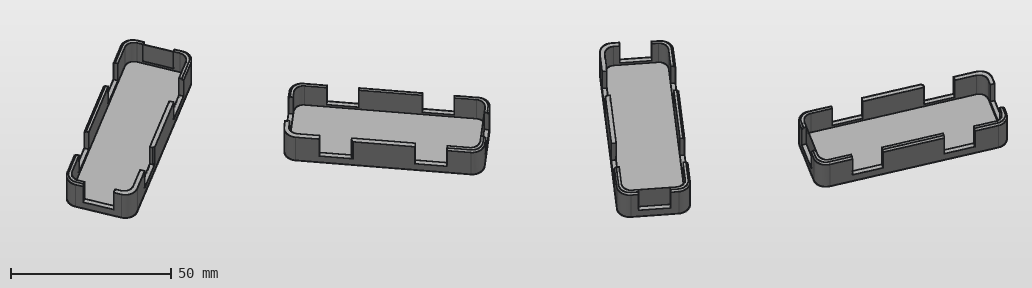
import cadquery as cq

WIDTH = 23.0
LENGTH = 63.0
HEIGHT = 11.0
WALL = 1.5
FLOOR = 2.0
OUTER_RADIUS = 4.0
INNER_RADIUS = 3.0

NOTCH_WIDTH = 10.0
NOTCH_SILL = 3.0
SIDE_NOTCH_OFFSET = 15.0
BACK_WEB = 0.01

CHAMFER = 0.6

HALF_WIDTH = WIDTH / 2
HALF_LENGTH = LENGTH / 2
HALF_NOTCH = NOTCH_WIDTH / 2
NOTCH_DEPTH = HEIGHT - NOTCH_SILL
SIDE_POST_END = SIDE_NOTCH_OFFSET - HALF_NOTCH


def rounded_block(width, length, height, radius, base):
    """Upright block with rounded vertical edges, standing on z = base."""
    block = cq.Workplane("XY").workplane(offset=base).rect(width, length).extrude(height)
    return block.edges("|Z").fillet(radius)


def box_between(x_min, x_max, y_min, y_max, z_min, z_max):
    """Axis-aligned box given by its limits."""
    box = cq.Workplane("XY").box(x_max - x_min, y_max - y_min, z_max - z_min, centered=False)
    return box.translate((x_min, y_min, z_min))


def tray():
    """Open tray with rounded corners inside and out."""
    body = rounded_block(WIDTH, LENGTH, HEIGHT, OUTER_RADIUS, 0)
    cavity = rounded_block(WIDTH - 2 * WALL, LENGTH - 2 * WALL, HEIGHT, INNER_RADIUS, FLOOR)
    return body.cut(cavity)


def chamfer_rim(body):
    """Chamfer the outer rim, except from the front notch round the +X corner to the rear side notch."""
    blank = rounded_block(WIDTH, LENGTH, HEIGHT, OUTER_RADIUS, 0)
    removed = blank.cut(blank.faces(">Z").edges().chamfer(CHAMFER))
    plain_stretch = box_between(0, HALF_WIDTH, -HALF_LENGTH, SIDE_NOTCH_OFFSET, 0, HEIGHT)
    return body.cut(removed.cut(plain_stretch))


def cut_side_notches(body):
    """Two open notches through each long wall."""
    for y in (-SIDE_NOTCH_OFFSET, SIDE_NOTCH_OFFSET):
        notch = box_between(
            -HALF_WIDTH, HALF_WIDTH, y - HALF_NOTCH, y + HALF_NOTCH, NOTCH_SILL, HEIGHT
        )
        body = body.cut(notch)
    return body


def cut_end_notches(body):
    """Open notch through the front wall; the back one leaves a thin skin inside."""
    inner_end = HALF_LENGTH - WALL
    front = box_between(-HALF_NOTCH, HALF_NOTCH, -HALF_LENGTH, -inner_end, NOTCH_SILL, HEIGHT)
    back = box_between(
        -HALF_NOTCH, HALF_NOTCH, inner_end + BACK_WEB, HALF_LENGTH, NOTCH_SILL, HEIGHT
    )
    return body.cut(front).cut(back)


def chamfer_post_edge(body):
    """Chamfer the front outer upright edge of the middle wall section on the +X side."""
    wedge = (
        cq.Workplane("XY")
        .workplane(offset=NOTCH_SILL)
        .moveTo(HALF_WIDTH, -SIDE_POST_END)
        .lineTo(HALF_WIDTH, -SIDE_POST_END + CHAMFER)
        .lineTo(HALF_WIDTH - CHAMFER, -SIDE_POST_END)
        .close()
        .extrude(NOTCH_DEPTH)
    )
    return body.cut(wedge)


result = chamfer_post_edge(cut_end_notches(cut_side_notches(chamfer_rim(tray()))))